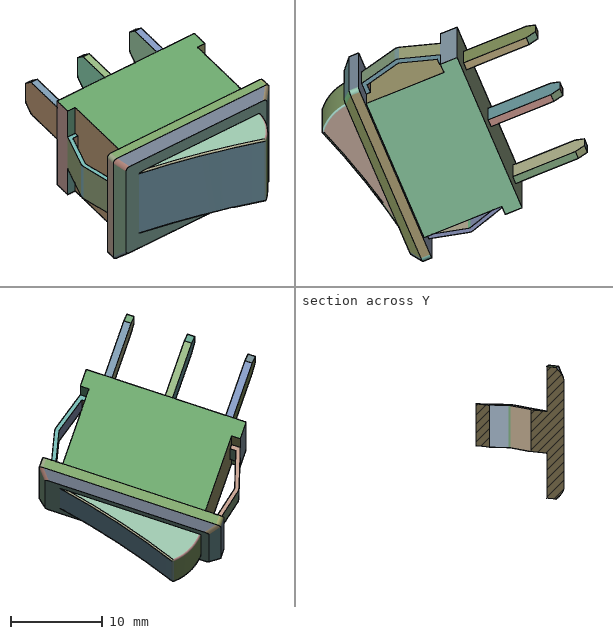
import cadquery as cq
import math


body_height = 12.6
body_width = 16.5
body_length = 11.2
end_wall_width = 18.5
end_wall_thickness = 2.0
end_wall_back_x = -body_length
end_wall_front_x = end_wall_back_x + end_wall_thickness

bezel_width = 21.0
bezel_height = 15.0
bezel_rim = 1.1
bezel_bevel = 1.0
bezel_corner_radius = 0.5
bezel_front_x = bezel_rim + bezel_bevel

terminal_pitch = 7.0
terminal_count = 3
terminal_length = 8.5
terminal_width = 4.8
terminal_thickness = 0.85
terminal_tip_chamfer_x = 1.07
terminal_tip_chamfer_z = 1.0

spring_width = 4.8
spring_leg = 0.5
spring_thickness = 0.5
spring_apex_x = -4.6
spring_apex_y = 10.65
spring_back_y = 9.25
spring_front_y = 9.56
spring_bend_radius = 1.0

rocker_thickness = 9.3
rocker_centre_z = 0.25
rocker_top_y = 8.57
rocker_tip_x = 5.96
rocker_tip_y = 6.6
rocker_low_y = -7.75
rocker_nose_bulge = 0.46
rocker_face_hollow = 0.3
rocker_edge_radius = 0.2
rocker_tip_radius = 0.25


def box_between(x_start, x_end, width, height):
    """Block centred on Y and Z, running from x_start to x_end."""
    length = x_end - x_start
    return cq.Workplane("XY").box(length, width, height).translate((x_start + length / 2, 0, 0))


def make_housing():
    body = box_between(end_wall_back_x, 0, body_width, body_height)
    end_wall = box_between(end_wall_back_x, end_wall_front_x, end_wall_width, body_height)
    return body.union(end_wall)


def bezel_outline(inset):
    """Rounded rectangle, drawn in from the rim of the bezel by inset."""
    outline = cq.Sketch().rect(bezel_width - 2 * inset, bezel_height - 2 * inset)
    return outline.vertices().fillet(bezel_corner_radius)


def make_bezel():
    """Rounded plate with a bevelled border; the corner radius is the same at the rim and the front."""
    rim = cq.Workplane("YZ").placeSketch(bezel_outline(0)).extrude(bezel_rim)
    bevel = (
        cq.Workplane("YZ", origin=(bezel_rim, 0, 0))
        .placeSketch(
            bezel_outline(0),
            bezel_outline(bezel_bevel).moved(cq.Location(cq.Vector(0, 0, bezel_bevel))),
        )
        .loft()
    )
    return rim.union(bevel)


def make_terminal(y_centre):
    """Blade whose tip is cut at both corners."""
    root_x = end_wall_back_x
    tip_x = root_x - terminal_length
    shoulder_x = tip_x + terminal_tip_chamfer_x
    half_width = terminal_width / 2
    half_tip = half_width - terminal_tip_chamfer_z
    outline = [
        (root_x, -half_width),
        (shoulder_x, -half_width),
        (tip_x, -half_tip),
        (tip_x, half_tip),
        (shoulder_x, half_width),
        (root_x, half_width),
    ]
    blade = cq.Workplane("XZ").polyline(outline).close().extrude(terminal_thickness / 2, both=True)
    return blade.translate((0, y_centre, 0))


def extrude_spring_outline(points, bend_radius):
    """Closed outline given width along Z, with its apex edge rounded."""
    solid = cq.Workplane("XY").polyline(points).close().extrude(spring_width / 2, both=True)
    return solid.edges("|Z").edges(">Y").fillet(bend_radius)


def make_spring():
    """Bent strip on the +Y side, standing on two legs."""
    root_y = body_width / 2
    back_slope = (spring_apex_y - spring_back_y) / (spring_apex_x - end_wall_front_x)
    front_slope = (spring_apex_y - spring_front_y) / -spring_apex_x
    inner_back_y = spring_back_y + back_slope * spring_leg - spring_thickness
    inner_front_y = spring_front_y + front_slope * spring_leg - spring_thickness
    outer = [
        (end_wall_front_x, root_y),
        (end_wall_front_x, spring_back_y),
        (spring_apex_x, spring_apex_y),
        (0, spring_front_y),
        (0, root_y),
    ]
    inner = [
        (end_wall_front_x + spring_leg, root_y),
        (end_wall_front_x + spring_leg, inner_back_y),
        (spring_apex_x, spring_apex_y - spring_thickness),
        (-spring_leg, inner_front_y),
        (-spring_leg, root_y),
    ]
    strip = extrude_spring_outline(outer, spring_bend_radius)
    opening = extrude_spring_outline(inner, spring_bend_radius - spring_thickness)
    return strip.cut(opening)


def bulged_midpoint(start, end, bulge):
    """Point at mid-chord, shifted by bulge to the left of the direction from start to end."""
    dx = end[0] - start[0]
    dy = end[1] - start[1]
    chord = math.hypot(dx, dy)
    return ((start[0] + end[0]) / 2 - dy / chord * bulge, (start[1] + end[1]) / 2 + dx / chord * bulge)


def make_rocker():
    """Tilted rocker: convex nose on the +Y side, shallow hollow face on the other, rounded tip."""
    top = (bezel_front_x, rocker_top_y)
    tip = (rocker_tip_x, rocker_tip_y)
    low = (bezel_front_x, rocker_low_y)
    profile = (
        cq.Workplane("XY")
        .moveTo(*top)
        .threePointArc(bulged_midpoint(top, tip, rocker_nose_bulge), tip)
        .threePointArc(bulged_midpoint(tip, low, -rocker_face_hollow), low)
        .close()
    )
    rocker = profile.extrude(rocker_thickness / 2, both=True)
    rocker = rocker.edges(">X").fillet(rocker_tip_radius)
    rounded = rocker.faces("|Z").edges("not |Y").fillet(rocker_edge_radius)
    return rounded.translate((0, 0, rocker_centre_z))


result = make_housing().union(make_bezel())
for index in range(terminal_count):
    result = result.union(make_terminal((index - (terminal_count - 1) / 2) * terminal_pitch))
spring = make_spring()
result = result.union(spring).union(spring.mirror("XZ"))
result = result.union(make_rocker())